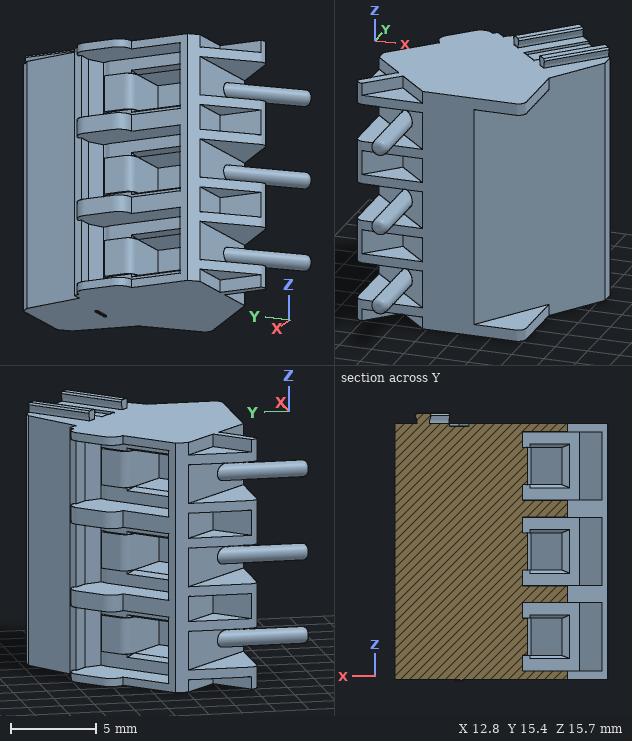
import cadquery as cq
import math

POLES = 3
PITCH = 5.0
HEIGHT = POLES * PITCH
BLOCK_WIDTH = 10.49
OVERALL_WIDTH = 12.8
BODY_DEPTH = 11.89
CORNER_RADIUS = 0.5

ENTRY_FACE = 3.53
SHOULDER = 10.96
SHOULDER_RADIUS = 0.15
NECK_END = 15.18
NECK_AXIS = -0.7
NECK_ROOT_HALF = 3.5
NECK_END_HALF = 2.73
END_PLATE = 0.72

POCKET_DEPTH = 2.98
PIN_SLOT_HEIGHT = 2.32
WEB_POCKET_HEIGHT = 1.5
WEB_THICKNESS = 0.61

PIN_X = 2.71
PIN_DIAMETER = 1.0
PIN_LENGTH = 3.51
PIN_TIP_RADIUS = 0.31
PIN_ROOT_Y = 3.14

DIVIDER = 1.0
EAR_START = 7.18
EAR_END = 10.63
EAR_HEIGHT = 0.83
EAR_START_RADIUS = 0.86
EAR_END_RADIUS = 0.78
EAR_ROOT_DEPTH = 0.63

ENTRY_START = 4.01
ENTRY_END = 10.46
ENTRY_TAPER_START = 2.55
ENTRY_TAPER_END = 9.99
ENTRY_FLOOR = 1.66
GUTTER_FLOOR = 1.57
GUTTER_START = 9.83
GUTTER_RAMP_START = 9.53
WIRE_HOLE_START = 5.02
WIRE_HOLE_END = 7.92
WIRE_HOLE_DEPTH = 3.14
WIRE_MOUTH_FLARE = 0.19
WIRE_MOUTH_DEPTH = 0.47
BUTTON_WIDTH = 2.18
BUTTON_TOP = 1.87
BUTTON_BOTTOM = 0.78
BUTTON_END = 9.77
BUTTON_RADIUS = 0.58

RIB_SPACING = 3.51
RIB_HEIGHT = 0.6
RIB_SHOULDER_HEIGHT = 0.47
RIB_FOOT_HEIGHT = 0.14
RIB_TOP_HALF = 0.25
RIB_WIDEST_HALF = 0.35
RIB_FOOT_HALF = 0.27
RECESS_WIDTH = 1.33
RECESS_DEPTH = 0.15
LATCH_WIDTH = 1.25
LATCH_START = 11.2
LATCH_LENGTH = 0.13
LATCH_HEIGHT = 0.08

POLE_HEIGHTS = [(pole + 0.5) * PITCH for pole in range(POLES)]
BOUNDARY_HEIGHTS = [pole * PITCH for pole in range(POLES + 1)]
OVERCUT = 0.31


def diagonal_plane(z):
    """Horizontal plane whose local axes are (along, across)."""
    return cq.Workplane(cq.Plane(origin=(0, 0, z), xDir=(1, 1, 0), normal=(0, 0, 1)))


def diagonal_prism(points, z_low, z_high):
    return diagonal_plane(z_low).polyline(points).close().extrude(z_high - z_low)


def diagonal_box(along, across, z_low, z_high):
    """Box between the (low, high) limits along and across the diagonal."""
    length = along[1] - along[0]
    width = across[1] - across[0]
    corner = diagonal_plane(z_low).center(along[0], across[0])
    return corner.rect(length, width, centered=False).extrude(z_high - z_low)


def slab(z_low, z_high):
    """Layer wider than the part, used to keep only a band of heights."""
    size = 4 * OVERALL_WIDTH
    return cq.Workplane("XY", origin=(0, 0, z_low)).rect(size, size).extrude(z_high - z_low)


neck_taper = (NECK_ROOT_HALF - NECK_END_HALF) / (NECK_END - SHOULDER)


def neck_half_width(along):
    return NECK_ROOT_HALF - neck_taper * (along - SHOULDER)


def make_body():
    block = cq.Workplane("XY").rect(BLOCK_WIDTH, BODY_DEPTH, centered=False).extrude(HEIGHT)
    block = block.edges("|Z and <Y").fillet(CORNER_RADIUS)
    block = block.intersect(
        diagonal_box((-OVERALL_WIDTH, SHOULDER), (-OVERALL_WIDTH, ENTRY_FACE), 0, HEIGHT)
    )
    block = block.edges("|Z and >Y").fillet(SHOULDER_RADIUS)
    neck_start = BLOCK_WIDTH / math.sqrt(2)
    neck = diagonal_prism(
        [
            (neck_start, NECK_AXIS),
            (neck_start, NECK_AXIS - neck_half_width(neck_start)),
            (NECK_END, NECK_AXIS - NECK_END_HALF),
            (NECK_END, NECK_AXIS + NECK_END_HALF),
            (SHOULDER, NECK_AXIS + NECK_ROOT_HALF),
            (SHOULDER, NECK_AXIS),
        ],
        0,
        HEIGHT,
    )
    limits = cq.Workplane("XY").rect(OVERALL_WIDTH, BODY_DEPTH, centered=False).extrude(HEIGHT)
    return block.union(neck.intersect(limits))


def make_corner_relief():
    """Space between the end plates, beyond the neck's lower flank carried on to the front."""
    far = -2 * OVERALL_WIDTH
    return diagonal_prism(
        [
            (0, NECK_AXIS - neck_half_width(0)),
            (NECK_END, NECK_AXIS - NECK_END_HALF),
            (NECK_END, far),
            (0, far),
        ],
        END_PLATE,
        HEIGHT - END_PLATE,
    )


def make_pin_slot(z):
    half = PIN_SLOT_HEIGHT / 2
    reach = POCKET_DEPTH + OVERCUT
    return diagonal_box((-OVERCUT, POCKET_DEPTH), (-reach, reach), z - half, z + half)


def make_web_pockets(z):
    """Pair of pockets that leave a web standing on the corner diagonal."""
    half = WEB_POCKET_HEIGHT / 2
    reach = POCKET_DEPTH + OVERCUT
    pockets = diagonal_box((-OVERCUT, POCKET_DEPTH), (-reach, reach), z - half, z + half)
    web_limits = (-WEB_THICKNESS / 2, WEB_THICKNESS / 2)
    return pockets.cut(diagonal_box((-OVERCUT, POCKET_DEPTH), web_limits, z - half, z + half))


def make_pin(z):
    pin = cq.Workplane("XZ", origin=(PIN_X, PIN_ROOT_Y, z)).circle(PIN_DIAMETER / 2)
    return pin.extrude(PIN_ROOT_Y + PIN_LENGTH).faces("<Y").edges().fillet(PIN_TIP_RADIUS)


def make_ear(z):
    """Rounded divider ear standing on the entry face."""
    half = DIVIDER / 2
    across_limits = (ENTRY_FACE - EAR_ROOT_DEPTH, ENTRY_FACE + EAR_HEIGHT)
    ear = diagonal_box((EAR_START, EAR_END), across_limits, z - half, z + half)
    ear = ear.edges("|Z").edges(">(-1, 1, 0)").edges("<X").fillet(EAR_START_RADIUS)
    return ear.edges("|Z").edges(">Y").fillet(EAR_END_RADIUS)


def make_entry(z):
    """Wire entry with a tapered end wall and a shallow gutter at the foot of that wall."""
    half = (PITCH - DIVIDER) / 2
    mouth = ENTRY_FACE + OVERCUT
    return diagonal_prism(
        [
            (ENTRY_START, mouth),
            (ENTRY_START, ENTRY_FLOOR),
            (GUTTER_RAMP_START, ENTRY_FLOOR),
            (GUTTER_START, GUTTER_FLOOR),
            (ENTRY_TAPER_END, GUTTER_FLOOR),
            (ENTRY_END, ENTRY_TAPER_START),
            (ENTRY_END, mouth),
        ],
        z - half,
        z + half,
    )


def make_wire_hole(z):
    """Blind hole in the entry floor, as wide as the button, with a flared mouth."""
    length = WIRE_HOLE_END - WIRE_HOLE_START
    along_middle = (WIRE_HOLE_START + WIRE_HOLE_END) / 2
    middle = diagonal_plane(z).plane.toWorldCoords((along_middle, ENTRY_FLOOR, 0))
    inward = cq.Workplane(cq.Plane(origin=middle.toTuple(), xDir=(1, 1, 0), normal=(1, -1, 0)))
    hole = inward.rect(length, BUTTON_WIDTH).extrude(WIRE_HOLE_DEPTH)
    mouth = inward.rect(length + 2 * WIRE_MOUTH_FLARE, BUTTON_WIDTH + 2 * WIRE_MOUTH_FLARE)
    flare_angle = math.degrees(math.atan2(WIRE_MOUTH_FLARE, WIRE_MOUTH_DEPTH))
    return hole.union(mouth.extrude(WIRE_MOUTH_DEPTH, taper=flare_angle))


def make_button(z):
    """Release button with a rounded edge over the wire hole."""
    half = BUTTON_WIDTH / 2
    return (
        diagonal_plane(z - half)
        .moveTo(WIRE_HOLE_END, BUTTON_BOTTOM)
        .lineTo(WIRE_HOLE_END, BUTTON_TOP - BUTTON_RADIUS)
        .radiusArc((WIRE_HOLE_END + BUTTON_RADIUS, BUTTON_TOP), BUTTON_RADIUS)
        .lineTo(BUTTON_END, BUTTON_TOP)
        .lineTo(ENTRY_TAPER_END, GUTTER_FLOOR)
        .lineTo(ENTRY_TAPER_END, BUTTON_BOTTOM)
        .close()
        .extrude(BUTTON_WIDTH)
    )


def make_rib(across):
    """Dovetail rib on the top face with chamfered upper edges."""
    start = diagonal_plane(HEIGHT).plane.toWorldCoords((SHOULDER, across, 0))
    section = cq.Workplane(cq.Plane(origin=start.toTuple(), xDir=(-1, 1, 0), normal=(1, 1, 0)))
    right_side = [
        (RIB_FOOT_HALF, -RIB_FOOT_HEIGHT),
        (RIB_FOOT_HALF, RIB_FOOT_HEIGHT),
        (RIB_WIDEST_HALF, RIB_SHOULDER_HEIGHT),
        (RIB_TOP_HALF, RIB_HEIGHT),
    ]
    left_side = [(-offset, rise) for offset, rise in reversed(right_side)]
    return section.polyline(right_side + left_side).close().extrude(NECK_END - SHOULDER)


def make_recess():
    limits = (NECK_AXIS - RECESS_WIDTH / 2, NECK_AXIS + RECESS_WIDTH / 2)
    return diagonal_box((SHOULDER, NECK_END + OVERCUT), limits, HEIGHT - RECESS_DEPTH, HEIGHT + OVERCUT)


def make_latch():
    """Thin snap ridge under the bottom plate."""
    limits = (NECK_AXIS - LATCH_WIDTH / 2, NECK_AXIS + LATCH_WIDTH / 2)
    return diagonal_box((LATCH_START, LATCH_START + LATCH_LENGTH), limits, -LATCH_HEIGHT, LATCH_HEIGHT)


part = make_body().cut(make_corner_relief())

for boundary in BOUNDARY_HEIGHTS:
    part = part.cut(make_web_pockets(boundary))
    part = part.union(make_ear(boundary).intersect(slab(0, HEIGHT)))

for pole_height in POLE_HEIGHTS:
    part = part.cut(make_pin_slot(pole_height))
    part = part.cut(make_entry(pole_height))
    part = part.cut(make_wire_hole(pole_height))
    part = part.union(make_button(pole_height))
    part = part.union(make_pin(pole_height))

for side in (-1, 1):
    part = part.union(make_rib(NECK_AXIS + side * RIB_SPACING / 2))

result = part.cut(make_recess()).union(make_latch())